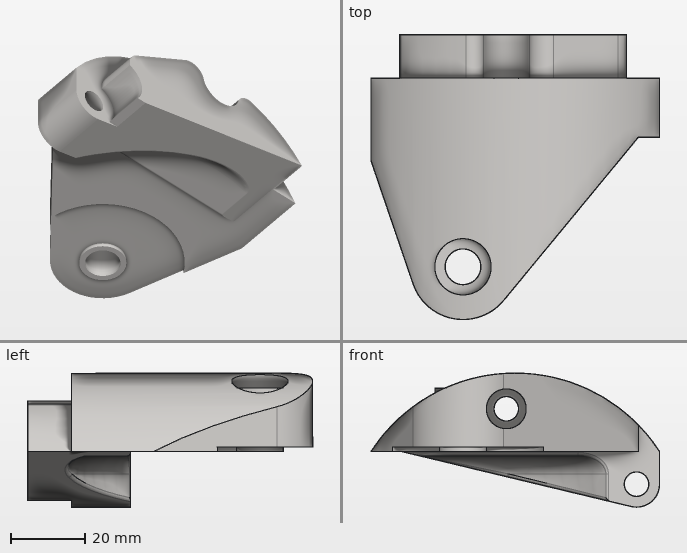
import cadquery as cq
import math

body_width = 78.0
dome_height = 21.2
left_side_length = 22.2
tip_x = 24.9
tip_y = -50.9
tip_radius = 14.3
tip_hole_diameter = 9.6
tip_seat_diameter = 15.2
tip_seat_z = 17.15
pad_diameter = 12.7
relief_radius = 22.15
relief_height = 1.2

lug_radius = 6.2
lug_x = body_width - lug_radius
shelf_corner_x = 72.2
lug_z = -8.8
lug_depth = 16.0
wedge_start_x = 8.2
bolt_hole_diameter = 6.55

bolt_x = 36.6
bolt_z = 11.55
bolt_counterbore_diameter = 10.75
bolt_seat_y = -lug_depth

block_depth = 11.8
block_inset = 6.3
block_bottom_z = -13.25
bolt_clearance_radius = 6.4
lug_clearance_radius = 7.0
notch_left_round = 3.6
notch_right_round = 4.4
block_end_round = 4.7
block_right_x = 69.1
block_slope_start_z = 13.9
block_slope_start_x = 47.95
block_slope_angle = 30.0

pocket_radius = 52.25
pocket_roof_z = -1.2
pocket_roof_round = 4.8
pocket_rim_round = 0.9

margin = 7.8
dome_center_x = body_width / 2
dome_radius = (dome_center_x**2 + dome_height**2) / (2 * dome_height)
dome_center_z = dome_height - dome_radius


def tangent_point(start, center, radius, side):
    """Point where a line from start touches a circle; side picks one of the two."""
    dx = start[0] - center[0]
    dy = start[1] - center[1]
    angle = math.atan2(dy, dx) + side * math.acos(radius / math.hypot(dx, dy))
    return center[0] + radius * math.cos(angle), center[1] + radius * math.sin(angle)


def extrude_y(sketch_function, front_y, rear_y):
    """Extrude an XZ outline from front_y back to rear_y."""
    plane = cq.Workplane("XZ", origin=(0, rear_y, 0))
    return sketch_function(plane).extrude(rear_y - front_y)


def y_cylinder(x, z, diameter, front_y, rear_y):
    return extrude_y(lambda plane: plane.center(x, z).circle(diameter / 2), front_y, rear_y)


def z_cylinder(diameter, bottom_z, top_z):
    plane = cq.Workplane("XY", origin=(tip_x, tip_y, bottom_z))
    return plane.circle(diameter / 2).extrude(top_z - bottom_z)


def dome_outline(plane):
    return plane.threePointArc((dome_center_x, dome_height), (body_width, 0)).close()


lug_tangent = tangent_point((wedge_start_x, 0), (lug_x, lug_z), lug_radius, 1)
wedge_slope = lug_tangent[1] / (lug_tangent[0] - wedge_start_x)


def wedge_outline(plane):
    diagonal = lug_radius / math.sqrt(2)
    return (
        plane.moveTo(wedge_start_x, 0)
        .lineTo(body_width, 0)
        .lineTo(body_width, lug_z)
        .threePointArc((lug_x + diagonal, lug_z - diagonal), lug_tangent)
        .close()
    )


def make_dome():
    front_y = tip_y - tip_radius
    full_dome = extrude_y(dome_outline, front_y, 0)
    left_corner = (0, -left_side_length)
    right_corner = (shelf_corner_x, -lug_depth)
    left_tangent = tangent_point(left_corner, (tip_x, tip_y), tip_radius, 1)
    right_tangent = tangent_point(right_corner, (tip_x, tip_y), tip_radius, -1)
    plan = (
        cq.Workplane("XY")
        .lineTo(*left_corner)
        .lineTo(*left_tangent)
        .threePointArc((tip_x, front_y), right_tangent)
        .lineTo(*right_corner)
        .lineTo(body_width, -lug_depth)
        .lineTo(body_width, 0)
        .close()
        .extrude(dome_height)
    )
    return full_dome.intersect(plan)


def make_wedge():
    return extrude_y(wedge_outline, -lug_depth, 0)


def round_pocket_rim(solid):
    """Round the pocket mouth where it opens through the wedge's front and sloping faces."""
    tolerance = 0.01
    inside = cq.selectors.BoxSelector(
        (wedge_start_x + tolerance, -lug_depth - margin, lug_z - lug_radius),
        (lug_x - lug_radius, block_depth - margin, -tolerance),
        boundingbox=True,
    )

    def on_mouth(edge):
        middle = edge.positionAt(0.5)
        on_front = abs(middle.y + lug_depth) < tolerance
        on_slope = abs(middle.z - wedge_slope * (middle.x - wedge_start_x)) < tolerance
        return on_front or on_slope

    mouth = solid.edges(inside).filter(on_mouth)
    return mouth.fillet(pocket_rim_round)


def make_rear_block():
    radius = dome_radius - block_inset
    half_chord = math.sqrt(radius**2 - dome_center_z**2)
    left_x = dome_center_x - half_chord
    slope = math.tan(math.radians(block_slope_angle))

    def slope_z(x):
        return block_slope_start_z - (x - block_slope_start_x) * slope

    def arc_z(x):
        return dome_center_z + math.sqrt(radius**2 - (x - dome_center_x) ** 2)

    notch_left_x = bolt_x - bolt_clearance_radius
    notch_right_x = bolt_x + bolt_clearance_radius
    arc_middle_x = (left_x + bolt_x) / 2
    bottom_x = wedge_start_x + block_bottom_z / wedge_slope

    def outline(plane):
        return (
            plane.moveTo(left_x, 0)
            .threePointArc((arc_middle_x, arc_z(arc_middle_x)), (bolt_x, arc_z(bolt_x)))
            .lineTo(bolt_x, slope_z(bolt_x))
            .lineTo(block_right_x, slope_z(block_right_x))
            .lineTo(block_right_x, block_bottom_z)
            .lineTo(bottom_x, block_bottom_z)
            .lineTo(wedge_start_x, 0)
            .close()
        )

    block = extrude_y(outline, 0, block_depth)
    block = block.cut(y_cylinder(bolt_x, bolt_z, 2 * bolt_clearance_radius, 0, block_depth))
    notch = cq.Workplane("XY").box(
        2 * bolt_clearance_radius, block_depth, dome_height, centered=(True, False, False)
    )
    block = block.cut(notch.translate((bolt_x, 0, bolt_z)))
    block = block.cut(y_cylinder(lug_x, lug_z, 2 * lug_clearance_radius, 0, block_depth))

    def round_corner(solid, x, z, size):
        corner = cq.selectors.NearestToPointSelector((x, block_depth / 2, z))
        return solid.edges("|Y").edges(corner).fillet(size)

    block = round_corner(block, notch_left_x, arc_z(notch_left_x), notch_left_round)
    block = round_corner(block, notch_right_x, slope_z(notch_right_x), notch_right_round)
    return round_corner(block, block_right_x, slope_z(block_right_x), block_end_round)


def make_sweep_pocket():
    pocket = z_cylinder(2 * pocket_radius, lug_z - lug_radius - margin, pocket_roof_z)
    return pocket.faces(">Z").edges().fillet(pocket_roof_round)


def make_underside_relief():
    relief = z_cylinder(2 * relief_radius, 0, relief_height)
    return relief.cut(z_cylinder(pad_diameter, 0, relief_height))


lower = make_wedge().union(make_rear_block()).cut(make_sweep_pocket())
lower = round_pocket_rim(lower)
result = make_dome().union(lower)

result = result.union(z_cylinder(tip_seat_diameter, relief_height, tip_seat_z))
result = result.cut(make_underside_relief())
result = result.cut(z_cylinder(tip_hole_diameter, 0, dome_height))
result = result.cut(z_cylinder(tip_seat_diameter, tip_seat_z, dome_height))

front_limit = tip_y - tip_radius
result = result.cut(y_cylinder(bolt_x, bolt_z, bolt_hole_diameter, front_limit, block_depth))
result = result.cut(y_cylinder(bolt_x, bolt_z, bolt_counterbore_diameter, front_limit, bolt_seat_y))
result = result.cut(y_cylinder(lug_x, lug_z, bolt_hole_diameter, -lug_depth, block_depth))